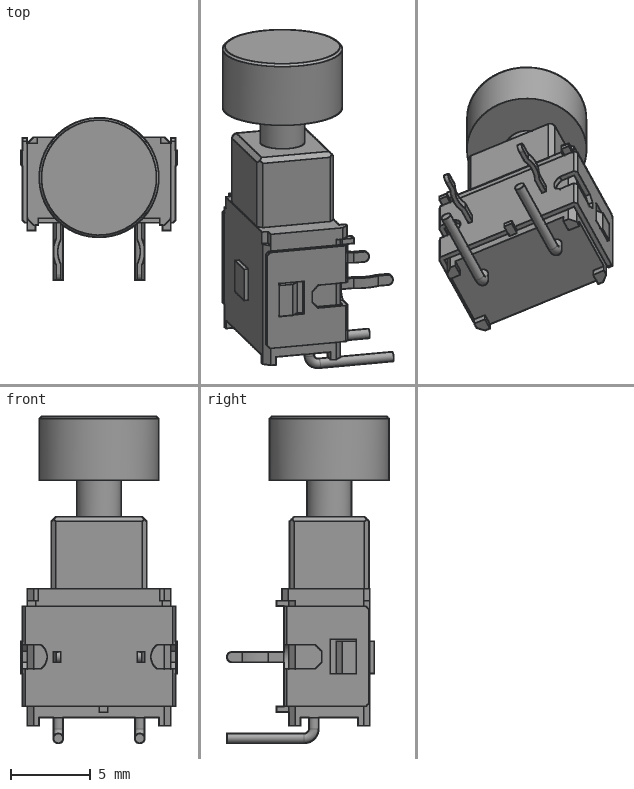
import cadquery as cq
import math


housing_width = 9.0
housing_depth = 5.08
housing_back = housing_depth / 2
housing_front = -housing_depth / 2
housing_top = 8.6
corner_chamfer = 0.4
floor_height = 0.52
foot_size = 0.75
shoulder_height = 7.85
lip_width = 0.7
lip_projection = 0.43
rear_notch_width = 0.62
rear_notch_depth = 0.4

neck_width = 6.0
neck_depth = 5.0
neck_top = 13.11
neck_chamfer = 0.3

latch_bottom = 3.28
latch_top = 5.32
latch_projection = 0.4
latch_back = 1.7
latch_crest_front = 0.82
rear_latch_width = 2.0
rear_latch_projection = 0.28

stem_diameter = 2.8
cap_diameter = 7.5
cap_height = 4.0
cap_top = 19.38
cap_chamfer = 0.15

sheet = 0.3
frame_width = housing_width + 2 * sheet
frame_front = housing_front - sheet
frame_back = 2.48
frame_bottom = 1.22
frame_top = 7.5
bend_chamfer = 0.17
rear_corner_chamfer = 0.2
window_front = 0.05
window_top = 5.42
tab_width = 0.53
tab_front = -3.32
tab_thickness = shoulder_height - frame_top
bottom_tab_center = 0.27

cutout_height = 1.5
cutout_center = 4.33
cutout_back = -0.48
cutout_chamfer = 0.4
cutout_straight_end = 3.64
cutout_inner_end = 3.25

leg_spacing = 5.1
leg_end = -6.42
leg_height = 0.66
leg_center = 4.31
leg_thickness = 0.28
kink_bulge = 0.17
kink_half_length = 0.78
kink_middle = -4.65
terminal_diameter = 0.62
terminal_y = -0.97
terminal_bend_radius = 0.62
overall_height = 20.47
terminal_bottom = cap_top - overall_height


def box(x_range, y_range, z_range):
    """Axis-aligned block between two limits on each axis."""
    limits = (x_range, y_range, z_range)
    size = [high - low for low, high in limits]
    return cq.Workplane("XY").box(*size, centered=False).translate([low for low, high in limits])


def both_sides(shape):
    """The shape together with its mirror image across the YZ plane."""
    return shape.union(shape.mirror("YZ"))


def housing_core():
    """Rectangular body with chamfered upright corners and four feet."""
    half_width = housing_width / 2
    core = box((-half_width, half_width), (housing_front, housing_back), (0, housing_top))
    core = core.edges("|Z").chamfer(corner_chamfer)
    foot_inner_x = half_width - foot_size
    slot_along_y = box((-foot_inner_x, foot_inner_x), (housing_front, housing_back), (0, floor_height))
    slot_along_x = box(
        (-half_width, half_width),
        (housing_front + foot_size, housing_back - foot_size),
        (0, floor_height),
    )
    return core.cut(slot_along_y).cut(slot_along_x)


def front_lip():
    """Projecting lip at the right front corner of the shoulder."""
    outer_x = housing_width / 2
    lip = box(
        (outer_x - lip_width, outer_x),
        (housing_front - lip_projection, housing_front + corner_chamfer),
        (shoulder_height, housing_top),
    )
    return lip.edges("|Z and >X and <Y").chamfer(corner_chamfer)


def rear_notch():
    """Notch cut into the right rear corner of the shoulder."""
    outer_x = housing_width / 2
    return box(
        (outer_x - rear_notch_width, outer_x),
        (housing_back - rear_notch_depth, housing_back),
        (shoulder_height, housing_top),
    )


def side_latch():
    """Ramped latch bump on the right side of the housing."""
    wall_x = housing_width / 2
    crest_x = wall_x + latch_projection
    return (
        cq.Workplane("XY", origin=(0, 0, latch_bottom))
        .moveTo(wall_x, latch_back)
        .lineTo(crest_x, latch_back)
        .lineTo(crest_x, latch_crest_front)
        .lineTo(wall_x, latch_crest_front - latch_projection)
        .close()
        .extrude(latch_top - latch_bottom)
    )


def rear_latch():
    """Plain bump on the back of the housing."""
    return box(
        (-rear_latch_width / 2, rear_latch_width / 2),
        (housing_back, housing_back + rear_latch_projection),
        (latch_bottom, latch_top),
    )


def neck():
    """Square neck with chamfered upright and top edges."""
    block = box(
        (-neck_width / 2, neck_width / 2),
        (-neck_depth / 2, neck_depth / 2),
        (housing_top, neck_top),
    )
    return block.faces(">Z").chamfer(neck_chamfer).edges("|Z").chamfer(neck_chamfer)


def make_housing():
    body = housing_core().cut(both_sides(rear_notch()))
    for feature in (both_sides(front_lip()), both_sides(side_latch()), rear_latch(), neck()):
        body = body.union(feature)
    return body


def make_cap():
    """Round button with its stem standing on the neck."""
    cap_bottom = cap_top - cap_height
    button = cq.Workplane("XY", origin=(0, 0, cap_bottom)).circle(cap_diameter / 2).extrude(cap_height)
    button = button.faces(">Z").chamfer(cap_chamfer)
    stem = cq.Workplane("XY", origin=(0, 0, neck_top)).circle(stem_diameter / 2)
    return button.union(stem.extrude(cap_bottom - neck_top))


def frame_shell():
    """Front plate and two side walls of the frame, open at the back."""
    outer_x = frame_width / 2
    inner_x = outer_x - sheet
    shell = box((-outer_x, outer_x), (frame_front, frame_back), (frame_bottom, frame_top))
    shell = shell.edges("|Z and <Y").chamfer(bend_chamfer)
    shell = shell.edges("|X and >Y").chamfer(rear_corner_chamfer)
    inside = box((-inner_x, inner_x), (housing_front, frame_back), (frame_bottom, frame_top))
    return shell.cut(inside)


def latch_window():
    """Opening in the right side wall around the latch bump."""
    wall_x = housing_width / 2
    return box((wall_x, wall_x + sheet), (window_front, latch_back), (latch_bottom, window_top))


def side_cutout():
    """Part of the corner cutout in the right side wall, with a chamfered end."""
    half_height = cutout_height / 2
    cutout = box(
        (housing_width / 2, frame_width / 2),
        (frame_front, cutout_back),
        (cutout_center - half_height, cutout_center + half_height),
    )
    return cutout.edges("|X and >Y").chamfer(cutout_chamfer)


def front_cutout():
    """Part of the corner cutout in the front plate, with an arched end."""
    bottom = cutout_center - cutout_height / 2
    top = cutout_center + cutout_height / 2
    return (
        cq.Workplane("XZ", origin=(0, housing_front, 0))
        .moveTo(frame_width / 2, bottom)
        .lineTo(cutout_straight_end, bottom)
        .threePointArc((cutout_inner_end, cutout_center), (cutout_straight_end, top))
        .lineTo(frame_width / 2, top)
        .close()
        .extrude(sheet)
    )


def top_tab():
    """Tab bent forward from the top edge, at the right end of the front plate."""
    outer_x = housing_width / 2
    return box((outer_x - tab_width, outer_x), (tab_front, housing_front), (frame_top, shoulder_height))


def bottom_tab():
    """Single tab bent forward from the bottom edge of the front plate."""
    return box(
        (bottom_tab_center - tab_width / 2, bottom_tab_center + tab_width / 2),
        (tab_front, housing_front),
        (frame_bottom - tab_thickness, frame_bottom),
    )


def leg_side_profile():
    """Side outline of the legs with a fully rounded tip, drawn out across the right half."""
    tip_radius = leg_height / 2
    bottom = leg_center - tip_radius
    top = leg_center + tip_radius
    return (
        cq.Workplane("YZ")
        .moveTo(frame_front, bottom)
        .lineTo(frame_front, top)
        .lineTo(leg_end + tip_radius, top)
        .threePointArc((leg_end, leg_center), (leg_end + tip_radius, bottom))
        .close()
        .extrude(leg_spacing)
    )


def mounting_leg():
    """Right flat leg with an outward kink and a rounded tip."""
    leg_x = leg_spacing / 2
    kink_radius = (kink_half_length**2 + kink_bulge**2) / (2 * kink_bulge)
    kink_center_offset = kink_radius - kink_bulge

    def kink_face(offset):
        """X of a leg face, the half length of its arc, and the X of the arc's apex."""
        half_length = math.sqrt((kink_radius + offset) ** 2 - (kink_center_offset + offset) ** 2)
        return leg_x + offset, half_length, leg_x + offset + kink_bulge

    inner_x, inner_half, inner_apex = kink_face(-leg_thickness / 2)
    outer_x, outer_half, outer_apex = kink_face(leg_thickness / 2)
    leg = (
        cq.Workplane("XY", origin=(0, 0, leg_center - leg_height / 2))
        .moveTo(inner_x, frame_front)
        .lineTo(inner_x, kink_middle + inner_half)
        .threePointArc((inner_apex, kink_middle), (inner_x, kink_middle - inner_half))
        .lineTo(inner_x, leg_end)
        .lineTo(outer_x, leg_end)
        .lineTo(outer_x, kink_middle - outer_half)
        .threePointArc((outer_apex, kink_middle), (outer_x, kink_middle + outer_half))
        .lineTo(outer_x, frame_front)
        .close()
        .extrude(leg_height)
    )
    return leg.intersect(leg_side_profile())


def make_frame():
    shell = frame_shell()
    for opening in (latch_window(), side_cutout(), front_cutout()):
        shell = shell.cut(both_sides(opening))
    return shell.union(both_sides(top_tab())).union(bottom_tab()).union(both_sides(mounting_leg()))


def make_terminal(x):
    """Round wire that leaves the housing floor downwards and bends to the front."""
    axis_z = terminal_bottom + terminal_diameter / 2
    bend_center_y = terminal_y - terminal_bend_radius
    bend_center_z = axis_z + terminal_bend_radius
    diagonal = terminal_bend_radius * math.sqrt(0.5)
    path = (
        cq.Workplane("YZ", origin=(x, 0, 0))
        .moveTo(terminal_y, floor_height)
        .lineTo(terminal_y, bend_center_z)
        .threePointArc((bend_center_y + diagonal, bend_center_z - diagonal), (bend_center_y, axis_z))
        .lineTo(leg_end, axis_z)
    )
    start = cq.Workplane("XY", origin=(x, terminal_y, floor_height))
    return start.circle(terminal_diameter / 2).sweep(path)


housing = make_housing()
cap = make_cap()
frame = make_frame()
terminals = [make_terminal(side * leg_spacing / 2) for side in (-1, 1)]

result = cq.Compound.makeCompound(
    [housing.val(), cap.val(), frame.val(), *[terminal.val() for terminal in terminals]]
)